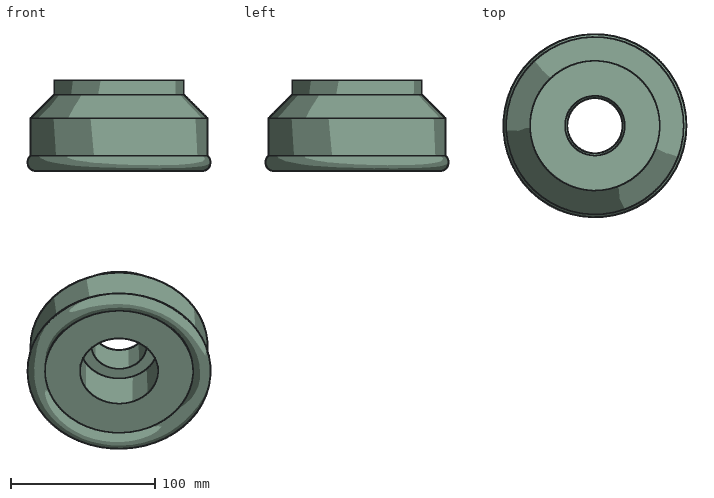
import cadquery as cq

outer_radius = 63.5
total_height = 63.0
body_radius = 61.5
neck_radius = 45.0
neck_height = 9.9
bore_radius = 19.0
bore_chamfer = 1.7
bore_depth = 25.4
cavity_radius = 27.0
ring_section_radius = 6.1

ring_center_radius = outer_radius - ring_section_radius
ring_center_height = ring_section_radius
housing_bottom = ring_center_height
neck_bottom = total_height - neck_height
shoulder_height = neck_bottom - (body_radius - neck_radius)
cavity_top = total_height - bore_depth


def make_ring():
    """Round-section ring resting on the plane Z = 0."""
    return cq.Solid.makeTorus(
        ring_center_radius,
        ring_section_radius,
        cq.Vector(0, 0, ring_center_height),
        cq.Vector(0, 0, 1),
    )


def make_housing(ring):
    """Revolved housing with a stepped through bore and a half-round seat for the ring."""
    profile = (
        cq.Workplane("XZ")
        .moveTo(cavity_radius, housing_bottom)
        .lineTo(body_radius, housing_bottom)
        .lineTo(body_radius, shoulder_height)
        .lineTo(neck_radius, neck_bottom)
        .lineTo(neck_radius, total_height)
        .lineTo(bore_radius + bore_chamfer, total_height)
        .lineTo(bore_radius, total_height - bore_chamfer)
        .lineTo(bore_radius, cavity_top)
        .lineTo(cavity_radius, cavity_top)
        .close()
    )
    blank = profile.revolve(360, (0, 0, 0), (0, 1, 0))
    return blank.cut(cq.Workplane(ring)).solids()


ring = make_ring()
housing = make_housing(ring)

result = cq.Compound.makeCompound([housing.val(), ring])